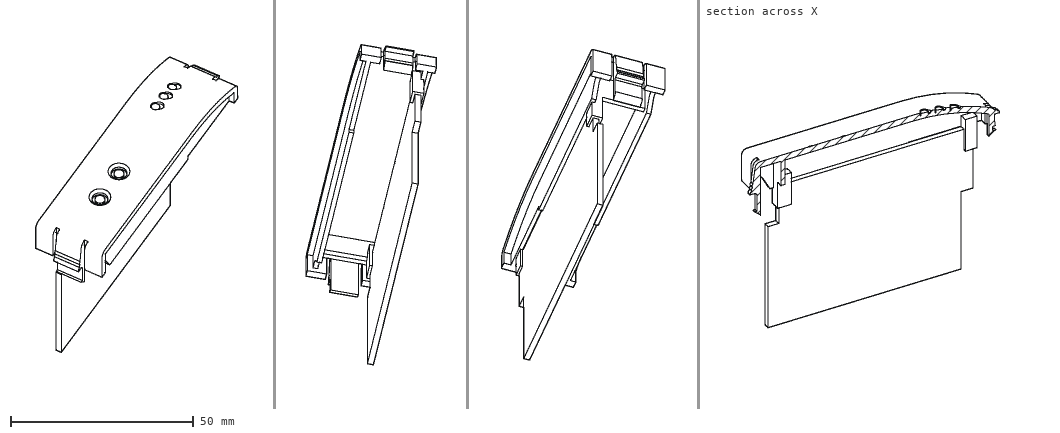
import cadquery as cq
import math


cover_width = 21.0
cover_top = 57.5
rear_face = 75.2
wall = 1.9
roof = 2.1
front_wall_bottom = 47.4
rear_wall_bottom = 45.7
rear_wall_draft = 0.2
front_corner_radius = 1.9
rear_corner_radius = 2.3
arc_start = 49.8
arc_radius = 57.1

tongue_width = 7.8
slot_width = 1.1
front_slot_depth = 1.9
rear_slot_depth = 2.35

leg_thickness = 1.25
front_leg_chamfer = 0.5
barb_undercut = 0.15
front_barb_tip = 0.0
front_barb_top = 41.55
front_leg_bottom = 39.75
rear_barb_tip = 75.5
rear_barb_top = 44.5
rear_leg_bottom = 42.9
grip_bulge = 0.22
front_grip_start = (-0.6, 50.9)
front_grip_ridges = [(-0.7, 49.6), (-0.9, 48.65), (-1.5, front_wall_bottom)]
rear_grip_start = (75.1, 51.1)
rear_grip_ridges = [(76.1, 50.4), (76.7, 49.5)]

left_rib_centre = -7.75
right_rib_centre = 8.2
rib_thickness = 1.3
rib_deep_bottom = 44.35
rib_step = 50.5
rib_notch_top = 49.3
rib_notch_foot = 7.1
rib_notch_head = 4.45
rib_notch_radius = 1.95

board_left = -7.3
board_thickness = 1.7
board_outline = [
    (5.6, 0), (66.1, 0), (66.1, 25.4), (69.85, 25.4),
    (69.85, rear_wall_bottom), (9.0, rear_wall_bottom), (9.0, 33.25), (5.6, 33.25),
]
block_left = -7.9
block_width = 3.1
block_bottom = 38.9
block_top = 49.3
block_spans = [(8.2, 12.5), (67.0, 70.65)]

button_places = [17.3, 27.85]
sink_radius = 3.0
bore_radius = 2.2
sink_depth = sink_radius - bore_radius
recess_depth = 1.6
button_radius = 1.4
button_drop = 0.9

lens_x = -2.9
lens_places = [53.2, 57.9, 62.6]
lens_radius = 1.2
lens_drop = 0.2
oval_radius = 1.3
oval_run_x = 0.8
oval_run_y = 0.7
oval_floor_drop = 0.9


def roof_height(y, offset=0.0):
    """Height of the roof's outer face at y, or of the parallel face lying offset below it."""
    run = max(y - arc_start, 0)
    return cover_top - arc_radius + math.sqrt((arc_radius - offset) ** 2 - run ** 2)


def extrude_across(profile, x_start, width):
    """Extrude a closed (Y, Z) profile along +X from x_start."""
    return profile.extrude(width).translate((x_start, 0, 0))


def box_between(x, y, z):
    """Box spanning the given (low, high) pairs."""
    size = [high - low for low, high in (x, y, z)]
    return cq.Workplane("XY").box(*size, centered=False).translate((x[0], y[0], z[0]))


def roof_arc(profile, y_end, offset=0.0):
    """Continue a profile from the start of the curved roof to y_end."""
    y_middle = (arc_start + y_end) / 2
    return profile.threePointArc(
        (y_middle, roof_height(y_middle, offset)), (y_end, roof_height(y_end, offset))
    )


def roof_solid(offset):
    """Space between the end walls up to the face lying offset below the roof."""
    rear = rear_face - wall
    profile = cq.Workplane("YZ").moveTo(wall, rear_wall_bottom).lineTo(wall, cover_top - offset)
    profile = roof_arc(profile.lineTo(arc_start, cover_top - offset), rear, offset)
    profile = profile.lineTo(rear, rear_wall_bottom).close()
    return extrude_across(profile, -cover_width / 2, cover_width)


def cover():
    outer = cq.Workplane("YZ").moveTo(0, front_wall_bottom).lineTo(0, cover_top).lineTo(arc_start, cover_top)
    outer = roof_arc(outer, rear_face)
    outer = outer.lineTo(rear_face, front_wall_bottom)
    outer = outer.lineTo(rear_face + rear_wall_draft, rear_wall_bottom)
    outer = outer.lineTo(rear_face - wall, rear_wall_bottom).lineTo(rear_face - wall, front_wall_bottom).close()
    body = extrude_across(outer, -cover_width / 2, cover_width)

    corners = [(0, cover_top, front_corner_radius), (rear_face, roof_height(rear_face), rear_corner_radius)]
    for y, z, radius in corners:
        body = body.edges(cq.selectors.NearestToPointSelector((0, y, z))).fillet(radius)

    body = body.cut(roof_solid(roof))

    slot_inner = tongue_width / 2
    slot_outer = slot_inner + slot_width
    for x in [(-slot_outer, -slot_inner), (slot_inner, slot_outer)]:
        body = body.cut(box_between(x, (0, front_slot_depth), (rear_wall_bottom, cover_top)))
        rear_span = (rear_face - rear_slot_depth, rear_face + rear_wall_draft)
        body = body.cut(box_between(x, rear_span, (rear_wall_bottom, cover_top)))
    return body


def grip(start, ridges):
    """Ridged finger grip: convex arcs through the ridge ends, closed by straight back edges."""
    profile = cq.Workplane("YZ").polyline(start)
    y, z = start[-1]
    for y_next, z_next in ridges:
        outward = math.copysign(grip_bulge, y_next - y)
        middle = ((y + y_next) / 2 + outward, (z + z_next) / 2 + grip_bulge / 2)
        profile = profile.threePointArc(middle, (y_next, z_next))
        y, z = y_next, z_next
    return extrude_across(profile.close(), -tongue_width / 2, tongue_width)


def leg(inner, tip, barb_top, bottom, top):
    """Latch leg with a barb; inner is the face towards the module, tip the barb's point."""
    outer = inner + math.copysign(leg_thickness, tip - inner)
    profile = cq.Workplane("YZ").polyline([
        (inner, top), (outer, top), (outer, barb_top), (tip, barb_top - barb_undercut), (inner, bottom),
    ]).close()
    return extrude_across(profile, -tongue_width / 2, tongue_width)


def latches():
    face_top = cover_top - front_corner_radius
    front_grip = grip(
        [(wall, front_wall_bottom), (wall, face_top), (0, face_top), front_grip_start], front_grip_ridges
    )
    rear_inner = rear_face - wall
    rear_grip_top = rear_grip_start[1]
    rear_grip_bottom = rear_grip_ridges[-1][1]
    rear_grip = grip(
        [(rear_inner, rear_grip_bottom), (rear_inner, rear_grip_top), rear_grip_start], rear_grip_ridges
    )
    front_leg = leg(wall, front_barb_tip, front_barb_top, front_leg_bottom, front_wall_bottom + wall)
    rear_leg = leg(rear_inner, rear_barb_tip, rear_barb_top, rear_leg_bottom, rear_wall_bottom + wall)
    outer = wall - leg_thickness
    root = cq.Workplane("YZ").polyline([
        (outer, front_wall_bottom), (outer - front_leg_chamfer, front_wall_bottom),
        (outer, front_wall_bottom - front_leg_chamfer),
    ]).close()
    front_leg = front_leg.union(extrude_across(root, -tongue_width / 2, tongue_width))
    return front_grip.union(rear_grip).union(front_leg).union(rear_leg)


def rib(x_centre):
    rear = rear_face - wall / 2
    front = wall / 2
    profile = cq.Workplane("YZ").moveTo(front, rib_notch_top).lineTo(front, cover_top - roof / 2)
    profile = roof_arc(profile.lineTo(arc_start, cover_top - roof / 2), rear, roof / 2)
    profile = profile.lineTo(rear, rear_wall_bottom).lineTo(rib_step, rear_wall_bottom)
    profile = profile.lineTo(rib_step, rib_deep_bottom).lineTo(rib_notch_foot, rib_deep_bottom)
    profile = profile.lineTo(rib_notch_head, rib_notch_top).close()
    x_start = x_centre - rib_thickness / 2
    plate = extrude_across(profile, x_start, rib_thickness)
    notch_corner = cq.selectors.NearestToPointSelector((x_centre, rib_notch_head, rib_notch_top))
    return plate.edges(notch_corner).fillet(rib_notch_radius)


def cross_wall():
    """Wall joining the two ribs just behind the front latch."""
    y_start = block_spans[0][0]
    return box_between(
        (left_rib_centre, right_rib_centre),
        (y_start, y_start + rib_thickness),
        (front_wall_bottom, cover_top - roof / 2),
    )


def board():
    profile = cq.Workplane("YZ").polyline(board_outline).close()
    plate = extrude_across(profile, board_left, board_thickness)
    for span in block_spans:
        plate = plate.union(
            box_between((block_left, block_left + block_width), span, (block_bottom, block_top))
        )
    return plate


def button_recess(y):
    cone = cq.Workplane("XY", origin=(0, y, cover_top)).circle(sink_radius)
    cone = cone.workplane(offset=-sink_depth).circle(bore_radius).loft()
    bore = cq.Workplane("XY", origin=(0, y, cover_top)).circle(bore_radius).extrude(-recess_depth)
    button = cq.Workplane("XY", origin=(0, y, cover_top - recess_depth)).circle(button_radius)
    return cone.union(bore).cut(button.extrude(recess_depth - button_drop))


def indicator_recess(y):
    run = math.hypot(oval_run_x, oval_run_y)
    tilt = math.degrees(math.atan2(oval_run_y, oval_run_x))
    floor = roof_height(y) - oval_floor_drop
    middle = (lens_x + oval_run_x / 2, y + oval_run_y / 2, floor)
    oval = cq.Workplane("XY", origin=middle).slot2D(run + 2 * oval_radius, 2 * oval_radius, tilt)
    oval = oval.extrude(2 * oval_floor_drop)
    lens = cq.Workplane("XY", origin=(lens_x, y, floor)).circle(lens_radius).extrude(oval_floor_drop)
    return oval.cut(lens.intersect(roof_solid(lens_drop)))


result = cover().union(latches()).union(rib(left_rib_centre)).union(rib(right_rib_centre))
result = result.union(cross_wall()).union(board())
for place in button_places:
    result = result.cut(button_recess(place))
for place in lens_places:
    result = result.cut(indicator_recess(place))